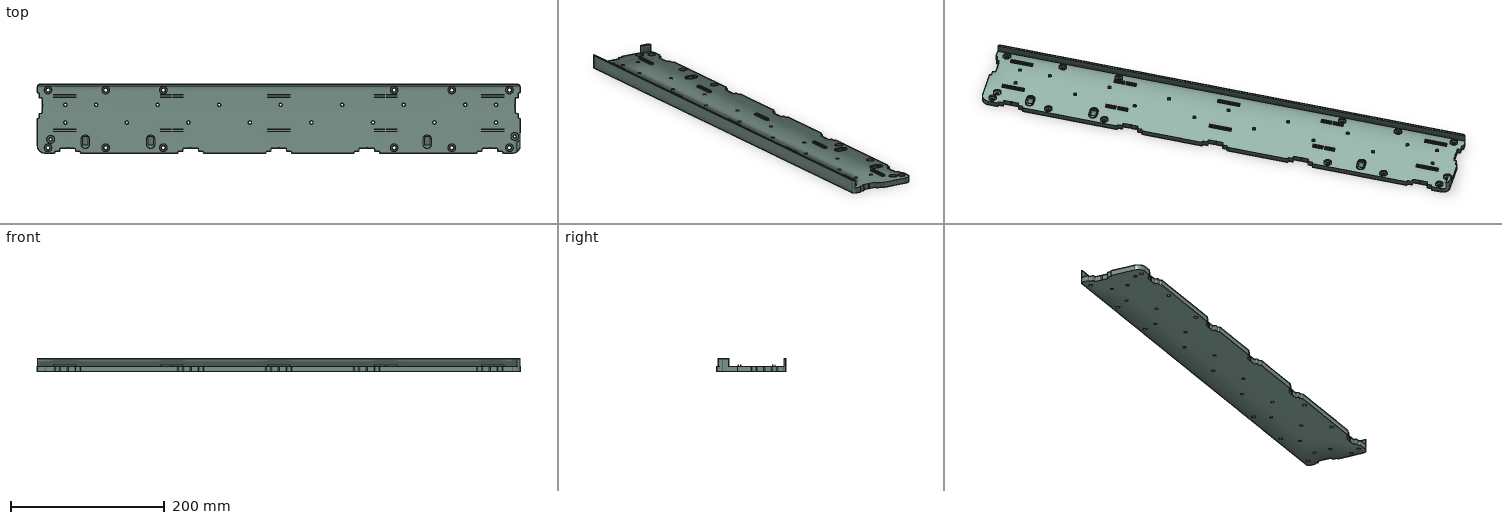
import cadquery as cq
LENGTH = 628.0
WIDTH = 90.0
PLATE_THICKNESS = 7.0
TOTAL_HEIGHT = 17.0
FRONT_CORNER_RADIUS = 10.0
BACK_CORNER_RADIUS = 4.0
RIGHT = LENGTH / 2
BACK = WIDTH / 2

FLANGE_THICKNESS = 2.5
END_WALL_THICKNESS = 4.0
END_WALL_BACK_Y = -29.0
END_WALL_EDGE_RADIUS = 2.0

END_RELIEF_DEPTH = 0.3
END_RELIEF_BACK_Y = -18.0

NOTCH_OUTER_HALF = 16.5
NOTCH_INNER_HALF = 10.0
NOTCH_LEDGE_DEPTH = 2.5
NOTCH_DEPTH = 6.5
NOTCH_RADIUS = 1.2
NOTCH_GROOVE_WIDTH = 2.0
NOTCH_GROOVE_DEPTH = 0.4
FRONT_NOTCH_XS = (-274.5, -114.5, 0.0, 114.5, 274.5)
END_NOTCH_Y = 17.0

HEAD_DEPTH = 3.0

SCREW_PITCH = 75.0
SCREW_COLUMNS = (-4, -3, -2, 2, 3, 4)
SCREW_ROW_SPACING = 75.0
SCREW_CENTER_Y = -0.3
SCREW_DIAMETER = 5.0
SCREW_HEAD_DIAMETER = 9.9

LOCATING_POINTS = ((-296.6, -26.9), (306.8, -23.1))
LOCATING_DIAMETER = 4.0
LOCATING_HEAD_DIAMETER = 10.2

SMALL_DIAMETER = 4.0
SMALL_PITCH = 80.0
SMALL_END_XS = (-277.5, 282.5)
SMALL_BACK_ROW_Y = 18.0
SMALL_BACK_ROW_START_X = -237.5
SMALL_BACK_ROW_COUNT = 7
SMALL_FRONT_ROW_Y = -5.0
SMALL_FRONT_ROW_START_X = -197.5
SMALL_FRONT_ROW_COUNT = 6

RIB_PITCH = 139.0
RIB_LENGTH = 29.4
RIB_THICKNESS = 0.6
RIB_HEIGHT = 2.0
RIB_SPACING = 3.0
RIB_SPLIT_GAP = 2.4
RIB_PAIR_YS = (29.4, -15.2)

SLOT_XS = (-251.5, -166.5, 193.0)
SLOT_Y = -30.0
SLOT_LENGTH = 17.4
SLOT_WIDTH = 11.0
SLOT_DEPTH = 1.0
TROUGH_RADIUS = 3.7
TROUGH_MARGIN = SLOT_WIDTH / 2 - TROUGH_RADIUS
TROUGH_LENGTH = 11.4


def rounded_plan():
    """Full-height block with the rounded plan shape that bounds the plate and both walls."""
    return (
        cq.Workplane("XY")
        .box(LENGTH, WIDTH, TOTAL_HEIGHT, centered=(True, True, False))
        .edges("|Z and <Y")
        .fillet(FRONT_CORNER_RADIUS)
        .edges("|Z and >Y")
        .fillet(BACK_CORNER_RADIUS)
    )


def notch_profile():
    """Notch corners as (distance along the edge, depth into the plate)."""
    half = [
        (NOTCH_OUTER_HALF, 0.0),
        (NOTCH_OUTER_HALF, NOTCH_LEDGE_DEPTH),
        (NOTCH_INNER_HALF, NOTCH_LEDGE_DEPTH),
        (NOTCH_INNER_HALF, NOTCH_DEPTH),
    ]
    return [(-along, depth) for along, depth in half] + half[::-1]


def plate_with_notches():
    """Plate with rounded corners and stepped notches in three edges."""
    profile = notch_profile()
    front = [(x + along, depth - BACK) for x in FRONT_NOTCH_XS for along, depth in profile]
    right = [(RIGHT - depth, END_NOTCH_Y + along) for along, depth in profile]
    left = [(-x, y) for x, y in reversed(right)]
    front_right = [(RIGHT, -BACK)]
    back = [(RIGHT, BACK), (-RIGHT, BACK)]
    front_left = [(-RIGHT, -BACK)]
    outline = front_left + front + front_right + right + back + left
    plate = cq.Workplane("XY").polyline(outline).close().extrude(PLATE_THICKNESS)

    margin = 1.0
    notch_zone_width = 2 * NOTCH_OUTER_HALF + margin
    notch_zone_depth = 2 * NOTCH_DEPTH + margin
    centers = [(x, -BACK, notch_zone_width, notch_zone_depth) for x in FRONT_NOTCH_XS]
    centers += [(side * RIGHT, END_NOTCH_Y, notch_zone_depth, notch_zone_width) for side in (-1, 1)]
    for x, y, size_x, size_y in centers:
        low = (x - size_x / 2, y - size_y / 2, -margin)
        high = (x + size_x / 2, y + size_y / 2, PLATE_THICKNESS + margin)
        plate = plate.edges(cq.selectors.BoxSelector(low, high)).edges("|Z").fillet(NOTCH_RADIUS)
    return plate.intersect(rounded_plan())


def notch_grooves():
    """Shallow upright grooves in the middle of every notch floor."""
    front_points = [(x, NOTCH_DEPTH - BACK) for x in FRONT_NOTCH_XS]
    end_points = [(side * (RIGHT - NOTCH_DEPTH), END_NOTCH_Y) for side in (-1, 1)]
    across = 2 * NOTCH_GROOVE_DEPTH
    front = cq.Workplane("XY").pushPoints(front_points).rect(NOTCH_GROOVE_WIDTH, across)
    ends = cq.Workplane("XY").pushPoints(end_points).rect(across, NOTCH_GROOVE_WIDTH)
    return front.extrude(PLATE_THICKNESS).union(ends.extrude(PLATE_THICKNESS))


def back_flange():
    """Upright flange along the whole back edge."""
    flange = (
        cq.Workplane("XY", origin=(0, BACK - FLANGE_THICKNESS / 2, 0))
        .box(LENGTH, FLANGE_THICKNESS, TOTAL_HEIGHT, centered=(True, True, False))
    )
    return flange.intersect(rounded_plan())


def end_wall():
    """Short upright wall at the right end that follows the rounded front corner."""
    length = END_WALL_BACK_Y + BACK
    center = (RIGHT - END_WALL_THICKNESS / 2, END_WALL_BACK_Y - length / 2, 0)
    wall = (
        cq.Workplane("XY", origin=center)
        .box(END_WALL_THICKNESS, length, TOTAL_HEIGHT, centered=(True, True, False))
        .edges("|Z and <X and >Y")
        .fillet(END_WALL_EDGE_RADIUS)
    )
    return wall.intersect(rounded_plan())


def end_relief():
    """Cutter that sets the front part of the right end face back a little."""
    length = END_RELIEF_BACK_Y + BACK
    origin = (RIGHT - END_RELIEF_DEPTH / 2, END_RELIEF_BACK_Y - length / 2, 0)
    return (
        cq.Workplane("XY", origin=origin)
        .box(END_RELIEF_DEPTH, length, TOTAL_HEIGHT, centered=(True, True, False))
    )


def guide_ribs():
    """Pairs of ribs at five stations; every second station is split in the middle."""
    half_piece = (RIB_LENGTH - RIB_SPLIT_GAP) / 2
    split_offset = (half_piece + RIB_SPLIT_GAP) / 2
    ribs = cq.Workplane("XY")
    for station in range(-2, 3):
        is_split = station % 2 == 1
        offsets = (-split_offset, split_offset) if is_split else (0.0,)
        piece_length = half_piece if is_split else RIB_LENGTH
        points = [
            (station * RIB_PITCH + offset, pair_y + side * RIB_SPACING / 2)
            for offset in offsets
            for pair_y in RIB_PAIR_YS
            for side in (-1, 1)
        ]
        pieces = (
            cq.Workplane("XY")
            .pushPoints(points)
            .rect(piece_length, RIB_THICKNESS)
            .extrude(PLATE_THICKNESS + RIB_HEIGHT)
        )
        ribs = ribs.add(pieces)
    return ribs.combine()


def small_hole_points():
    """Centres of the small holes: two staggered rows plus a pair at each end."""
    back_row = [
        (SMALL_BACK_ROW_START_X + i * SMALL_PITCH, SMALL_BACK_ROW_Y)
        for i in range(SMALL_BACK_ROW_COUNT)
    ]
    front_row = [
        (SMALL_FRONT_ROW_START_X + i * SMALL_PITCH, SMALL_FRONT_ROW_Y)
        for i in range(SMALL_FRONT_ROW_COUNT)
    ]
    ends = [(x, y) for x in SMALL_END_XS for y in (SMALL_BACK_ROW_Y, SMALL_FRONT_ROW_Y)]
    return back_row + front_row + ends


def plate_top():
    """Workplane on the upper face of the plate."""
    return cq.Workplane("XY", origin=(0, 0, PLATE_THICKNESS))


def counterbores(points, hole_diameter, head_diameter):
    """Cutters for through holes with a wider head recess from above."""
    holes = plate_top().pushPoints(points).circle(hole_diameter / 2).extrude(-PLATE_THICKNESS)
    heads = plate_top().pushPoints(points).circle(head_diameter / 2).extrude(-HEAD_DEPTH)
    return holes.union(heads)


def small_holes():
    """Cutters for the small through holes."""
    return plate_top().pushPoints(small_hole_points()).circle(SMALL_DIAMETER / 2).extrude(-PLATE_THICKNESS)


def trough_slots():
    """Cutters for the blind slots, each with a flat-ended trough in its floor."""
    points = [(x, SLOT_Y) for x in SLOT_XS]
    recesses = plate_top().pushPoints(points).slot2D(SLOT_LENGTH, SLOT_WIDTH, 90).extrude(-SLOT_DEPTH)
    trough_back_y = SLOT_Y + SLOT_LENGTH / 2 - TROUGH_MARGIN
    trough_axis_z = PLATE_THICKNESS - SLOT_DEPTH
    troughs = (
        cq.Workplane("XZ", origin=(0, trough_back_y, trough_axis_z))
        .pushPoints([(x, 0) for x in SLOT_XS])
        .circle(TROUGH_RADIUS)
        .extrude(TROUGH_LENGTH)
    )
    return recesses.union(troughs)


screw_rows = (SCREW_CENTER_Y - SCREW_ROW_SPACING / 2, SCREW_CENTER_Y + SCREW_ROW_SPACING / 2)
screw_points = [(column * SCREW_PITCH, y) for column in SCREW_COLUMNS for y in screw_rows]

result = (
    plate_with_notches()
    .cut(notch_grooves())
    .union(guide_ribs())
    .cut(counterbores(screw_points, SCREW_DIAMETER, SCREW_HEAD_DIAMETER))
    .cut(counterbores(LOCATING_POINTS, LOCATING_DIAMETER, LOCATING_HEAD_DIAMETER))
    .cut(small_holes())
    .cut(trough_slots())
    .union(back_flange())
    .union(end_wall())
    .cut(end_relief())
)